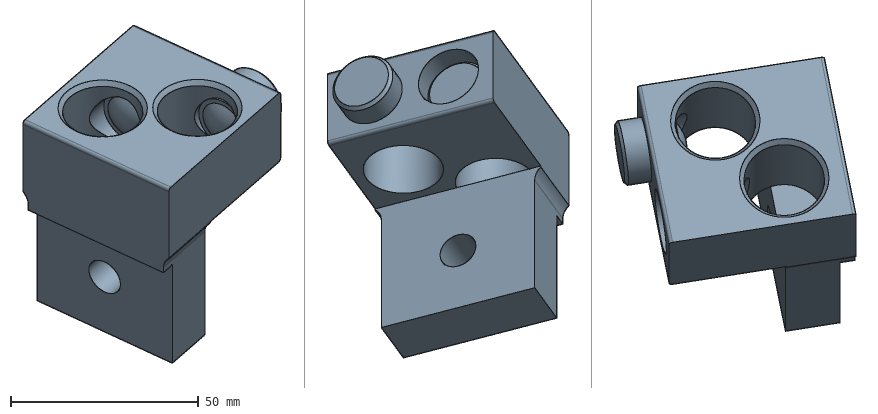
import cadquery as cq
import math

block_width = 48.25
block_depth = 50.75
block_height = 23.8
edge_radius = 0.95

total_height = 63.75
tongue_inset = 1.8
tongue_width = block_width - 2 * tongue_inset
tongue_back = 18.9
tongue_front = 4.0
shoulder_bottom = 29.8
cove_radius = 5.0
cove_top = 24.15
cove_height = math.sqrt(cove_radius**2 - (cove_radius - tongue_inset) ** 2)
bolt_hole_diameter = 10.4
bolt_hole_drop = 44.75

bore_diameter = 21.4
bore_chamfer = 1.2
bore_offset = 10.15
rear_bore_y = 32.1
front_bore_y = 17.0

screw_diameter = 17.45
screw_offset = 11.1
screw_axis_z = -block_height / 2
screw_chamfer = 0.9
tip_diameter = 15.75
tip_length = 4.5
screw_length = 18.2
dome_radius = 9.8
dome_base_diameter = 13.0
dome_height = dome_radius - math.sqrt(dome_radius**2 - (dome_base_diameter / 2) ** 2)
rear_screw_tip_y = 39.8
front_screw_tip_y = 27.15

clamps = [
    (bore_offset, rear_bore_y, screw_offset, rear_screw_tip_y),
    (-bore_offset, front_bore_y, -screw_offset, front_screw_tip_y),
]


def make_block():
    """Upper block with its front top edge and both rear edges rounded."""
    block = cq.Workplane("XY").box(block_width, block_depth, block_height, centered=(True, False, False))
    block = block.translate((0, 0, -block_height))
    return block.edges("|X and (>Z or >Y)").fillet(edge_radius)


def make_shoulder():
    """Front shoulder, narrowing from block width to tongue width by concave arcs."""
    half_block = block_width / 2
    half_tongue = tongue_width / 2
    cove_bottom = cove_top + cove_height
    half_angle = math.acos(1 - tongue_inset / cove_radius) / 2
    middle_x = half_tongue + cove_radius * (1 - math.cos(half_angle))
    middle_z = -cove_bottom + cove_radius * math.sin(half_angle)
    profile = (
        cq.Workplane("XZ")
        .moveTo(-half_block, -block_height)
        .lineTo(half_block, -block_height)
        .lineTo(half_block, -cove_top)
        .threePointArc((middle_x, middle_z), (half_tongue, -cove_bottom))
        .lineTo(half_tongue, -shoulder_bottom)
        .lineTo(-half_tongue, -shoulder_bottom)
        .lineTo(-half_tongue, -cove_bottom)
        .threePointArc((-middle_x, middle_z), (-half_block, -cove_top))
        .close()
    )
    return profile.extrude(-tongue_back)


def make_tongue():
    """Mounting tongue, set back from the front face, with a through bolt hole."""
    tongue_height = total_height - shoulder_bottom
    tongue = (
        cq.Workplane("XY")
        .box(tongue_width, tongue_back - tongue_front, tongue_height, centered=(True, False, False))
        .translate((0, tongue_front, -total_height))
    )
    hole = cq.Workplane("XZ").center(0, -bolt_hole_drop).circle(bolt_hole_diameter / 2).extrude(-tongue_back)
    return tongue.cut(hole)


def make_bore(x, y):
    """Cutter for a bore through the block, chamfered at the top."""
    radius = bore_diameter / 2
    bore = cq.Workplane("XY").center(x, y).circle(radius).extrude(-block_height)
    chamfer = cq.Solid.makeCone(
        radius + bore_chamfer, radius, bore_chamfer, cq.Vector(x, y, 0), cq.Vector(0, 0, -1)
    )
    return bore.union(cq.Workplane(chamfer))


def make_screw_hole(x, bore_y, tip_y):
    """Cutter for a stepped screw hole from the bore axis out through the rear face."""
    seat_y = tip_y + tip_length
    tip_hole = (
        cq.Workplane("XZ", origin=(x, bore_y, screw_axis_z))
        .circle(tip_diameter / 2)
        .extrude(bore_y - seat_y)
    )
    body_hole = (
        cq.Workplane("XZ", origin=(x, seat_y, screw_axis_z))
        .circle(screw_diameter / 2)
        .extrude(seat_y - block_depth)
    )
    return tip_hole.union(body_hole)


def make_housing():
    housing = make_block().union(make_shoulder()).union(make_tongue())
    for bore_x, bore_y, screw_x, tip_y in clamps:
        housing = housing.cut(make_bore(bore_x, bore_y))
        housing = housing.cut(make_screw_hole(screw_x, bore_y, tip_y))
    return housing


def make_screw(x, tip_y):
    """Clamping screw with a reduced, domed tip towards -Y and a chamfered rear end."""
    radius = screw_diameter / 2
    tip_radius = tip_diameter / 2
    dome_base_radius = dome_base_diameter / 2
    half_angle = math.asin(dome_base_radius / dome_radius) / 2
    dome_middle = (dome_radius * math.sin(half_angle), dome_radius * (1 - math.cos(half_angle)))
    return (
        cq.Workplane("XY")
        .moveTo(0, 0)
        .threePointArc(dome_middle, (dome_base_radius, dome_height))
        .lineTo(tip_radius, dome_height)
        .lineTo(tip_radius, tip_length)
        .lineTo(radius, tip_length)
        .lineTo(radius, screw_length - screw_chamfer)
        .lineTo(radius - screw_chamfer, screw_length)
        .lineTo(0, screw_length)
        .close()
        .revolve(360, (0, 0, 0), (0, 1, 0))
        .translate((x, tip_y, screw_axis_z))
    )


housing = make_housing()
screws = [make_screw(screw_x, tip_y) for _, _, screw_x, tip_y in clamps]
result = cq.Compound.makeCompound([housing.val(), *[screw.val() for screw in screws]])